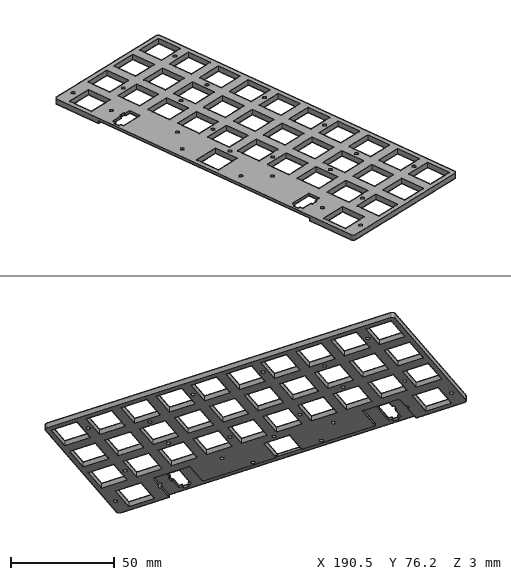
import cadquery as cq

length = 190.5
width = 76.2
thickness = 3.0
corner_radius = 1.5

pitch = 19.0
key_columns = 10
key_rows = 3
switch_opening = 14.0
bottom_row_y = pitch / 2
end_key_x = 0.75 * pitch

mid_x = length / 2

stab_offset = 3.0 * pitch
stab_width = 6.7
stab_above = 5.5
stab_below = 6.7
leg_width = 3.0
leg_reach = 8.0
notch_reach = 4.2
notch_top = 2.3
notch_bottom = -0.5

relief_height = thickness / 2
pocket_half_width = 10.1
pocket_depth = 17.1
strip_depth = 3.8
pocket_corner_radius = 1.5

hole_diameter = 2.0
hole_positions = [
    (76.2, 3.5 * pitch),
    (19.0, 3.5 * pitch),
    (47.6, 3.0 * pitch),
    (47.6, 2.0 * pitch),
    (76.2, 1.5 * pitch),
    (19.0, 1.5 * pitch),
    (30.3, 15.5),
    (67.2, bottom_row_y),
    (91.6, bottom_row_y),
    (18.7, 5.5),
]
centre_hole_y = pitch


def box(x_min, x_max, y_min, y_max, height=thickness):
    """Box standing on the underside of the plate."""
    return (
        cq.Workplane("XY")
        .box(x_max - x_min, y_max - y_min, height, centered=False)
        .translate((x_min, y_min, 0))
    )


def plate():
    return box(0, length, 0, width).edges("|Z").fillet(corner_radius)


def switch_openings():
    grid = [
        ((column + 0.5) * pitch, (row + 1.5) * pitch)
        for column in range(key_columns)
        for row in range(key_rows)
    ]
    bottom_row = [(x, bottom_row_y) for x in (end_key_x, mid_x, length - end_key_x)]
    return (
        cq.Workplane("XY")
        .pushPoints(grid + bottom_row)
        .rect(switch_opening, switch_opening)
        .extrude(thickness)
    )


def stabiliser_opening(side):
    """Opening with a front leg and a notch on its outer side; side is -1 or 1."""
    x = mid_x + side * stab_offset
    y = bottom_row_y
    body = box(x - stab_width / 2, x + stab_width / 2, y - stab_below, y + stab_above)
    leg = box(x - leg_width / 2, x + leg_width / 2, y - leg_reach, y)
    notch_x = sorted((x, x + side * notch_reach))
    notch = box(notch_x[0], notch_x[1], y + notch_bottom, y + notch_top)
    return body.union(leg).union(notch)


def front_relief():
    """Underside strip joining two deeper pockets centred on the stabilisers."""
    half_length = stab_offset + pocket_half_width
    relief = box(mid_x - half_length, mid_x + half_length, 0, strip_depth, relief_height)
    for side, outer_edge in ((-1, "<X"), (1, ">X")):
        x = mid_x + side * stab_offset
        pocket = box(x - pocket_half_width, x + pocket_half_width, 0, pocket_depth, relief_height)
        pocket = pocket.edges("|Z and >Y").edges(outer_edge).fillet(pocket_corner_radius)
        relief = relief.union(pocket)
    return relief


def screw_holes():
    points = [(mid_x, centre_hole_y)]
    for offset, y in hole_positions:
        points += [(mid_x - offset, y), (mid_x + offset, y)]
    return cq.Workplane("XY").pushPoints(points).circle(hole_diameter / 2).extrude(thickness)


result = plate().cut(switch_openings()).cut(front_relief()).cut(screw_holes())
for side in (-1, 1):
    result = result.cut(stabiliser_opening(side))
result = result.translate((-length / 2, -width / 2, -thickness / 2))